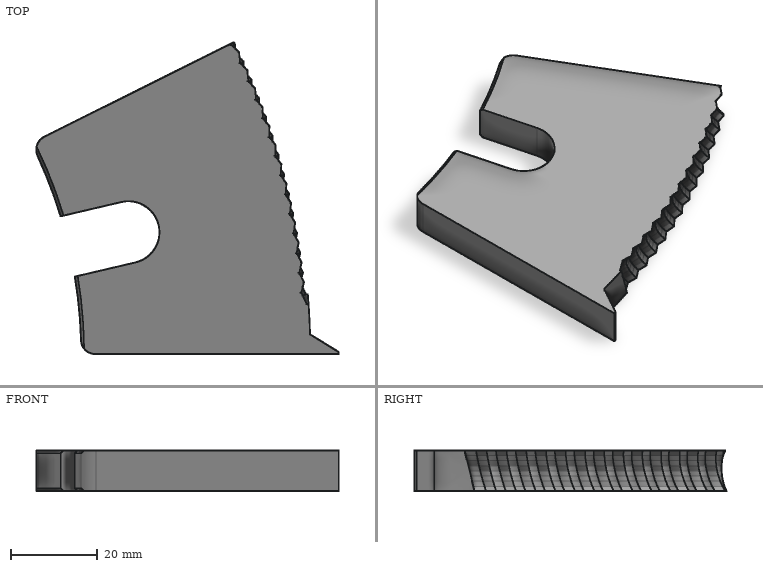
import cadquery as cq
import math

thickness = 9.45
sector_angle = 26.52
inner_radius = 109.35
outer_radius = 162.4
inner_chamfer = 0.7
corner_radius = 3.4

spur_tip_x = 168.95
spur_tip_height = 0.5
spur_root_y = 4.6

slot_angle = 13.2
slot_radius = 7.15
slot_end_distance = 123.55

tooth_count = 14
tooth_pitch_angle = 1.64
first_groove_angle = 26.4
worm_centre_radius = 165.35
worm_radius = 6.5
tooth_depth = 0.9
flank_overlap = 1.2
groove_sections = 9

half_thickness = thickness / 2
tooth_pitch = outer_radius * math.radians(tooth_pitch_angle)


def polar(radius, angle):
    """Point at a radius and an angle in degrees around the wheel axis."""
    a = math.radians(angle)
    return (radius * math.cos(a), radius * math.sin(a))


def make_sector():
    """Flat sector with the spur and two rounded inner corners."""
    spur_root_angle = math.degrees(math.asin(spur_root_y / outer_radius))
    rim_middle_angle = (spur_root_angle + sector_angle) / 2
    lower_corner = polar(inner_radius, 0)
    upper_corner = polar(inner_radius, sector_angle)
    sector = (
        cq.Workplane("XY", origin=(0, 0, -half_thickness))
        .moveTo(*lower_corner)
        .lineTo(spur_tip_x, 0)
        .lineTo(spur_tip_x, spur_tip_height)
        .lineTo(*polar(outer_radius, spur_root_angle))
        .threePointArc(polar(outer_radius, rim_middle_angle), polar(outer_radius, sector_angle))
        .lineTo(*upper_corner)
        .threePointArc(polar(inner_radius, sector_angle / 2), lower_corner)
        .close()
        .extrude(thickness)
    )
    for x, y in (lower_corner, upper_corner):
        corner = cq.selectors.NearestToPointSelector((x, y, 0))
        sector = sector.edges("|Z").edges(corner).fillet(corner_radius)
    return sector


def make_chamfered_ring():
    """Ring about the wheel axis that leaves both edges of the inner face chamfered."""
    chamfer_radius = inner_radius + inner_chamfer
    straight_half = half_thickness - inner_chamfer
    ring_radius = spur_tip_x + inner_chamfer
    return (
        cq.Workplane("XZ")
        .polyline([
            (inner_radius, -straight_half),
            (chamfer_radius, -half_thickness),
            (ring_radius, -half_thickness),
            (ring_radius, half_thickness),
            (chamfer_radius, half_thickness),
            (inner_radius, straight_half),
        ])
        .close()
        .revolve(360, (0, 0, 0), (0, 1, 0))
    )


def make_slot():
    """Round-ended cutter open towards the wheel axis."""
    round_end = cq.Workplane("XY").center(slot_end_distance, 0).circle(slot_radius)
    round_end = round_end.extrude(half_thickness, both=True)
    channel = cq.Workplane("XY").center(slot_end_distance / 2, 0)
    channel = channel.rect(slot_end_distance, 2 * slot_radius).extrude(half_thickness, both=True)
    return round_end.union(channel).rotate((0, 0, 0), (0, 0, 1), slot_angle)


def make_groove_cutter():
    """V groove that follows the worm arc across the thickness and leans sideways, at angle zero."""
    half_width = flank_overlap * tooth_pitch / 2
    flank_depth = flank_overlap * tooth_depth
    cutter = cq.Workplane("XY", origin=(0, 0, -half_thickness))
    for level in range(groove_sections):
        fraction = level / (groove_sections - 1) - 0.5
        valley_x = worm_centre_radius - math.sqrt(worm_radius**2 - (fraction * thickness) ** 2)
        valley_y = -fraction * tooth_pitch / 2
        cutter = cutter.polyline([
            (valley_x, valley_y),
            (valley_x + flank_depth, valley_y + half_width),
            (worm_centre_radius, valley_y + half_width),
            (worm_centre_radius, valley_y - half_width),
            (valley_x + flank_depth, valley_y - half_width),
        ]).close()
        if level < groove_sections - 1:
            cutter = cutter.workplane(offset=thickness / (groove_sections - 1))
    return cutter.loft(ruled=True)


result = make_sector().intersect(make_chamfered_ring()).cut(make_slot())

groove_cutter = make_groove_cutter()
middle_groove_angle = first_groove_angle + 0.25 * tooth_pitch_angle
for tooth in range(tooth_count):
    groove_angle = middle_groove_angle - tooth * tooth_pitch_angle
    result = result.cut(groove_cutter.rotate((0, 0, 0), (0, 0, 1), groove_angle))